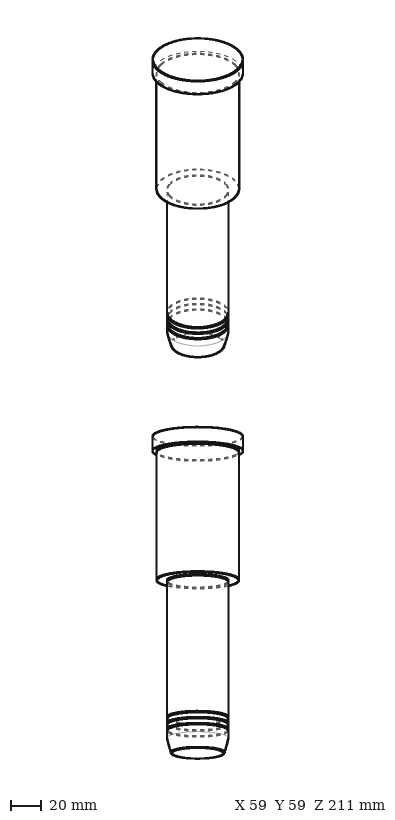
import cadquery as cq

LENGTH = 211.0

HEAD_DIAMETER = 59.0
HEAD_HEIGHT = 10.0
HEAD_CHAMFER = 0.5

BODY_DIAMETER = 54.0
BODY_LENGTH = 86.0
BODY_CHAMFER = 0.5

PIN_DIAMETER = 40.0

GROOVE_WIDTH = 1.0
GROOVE_DEPTH = 0.5
NOSE_GROOVE_PITCH = 4.0
NOSE_GROOVE_COUNT = 3
LOWEST_GROOVE_Z = 15.0

NOSE_LENGTH = 10.1
NOSE_TIP_DIAMETER = 35.0
NOSE_BULGE = 0.1
TIP_CHAMFER = 0.6

HEAD_BOTTOM_Z = LENGTH - HEAD_HEIGHT
BODY_BOTTOM_Z = HEAD_BOTTOM_Z - BODY_LENGTH


def disc(diameter, bottom_z, top_z):
    """Solid cylinder on the Z axis."""
    return cq.Workplane("XY").workplane(offset=bottom_z).circle(diameter / 2).extrude(top_z - bottom_z)


def revolve_about_z(profile):
    """Full turn of a closed XZ profile around the Z axis."""
    return profile.revolve(360, (0, 0, 0), (0, 1, 0))


def groove_cutter(diameter, bottom_z):
    """V-section ring that cuts a groove into a cylinder of the given diameter."""
    radius = diameter / 2
    profile = (
        cq.Workplane("XZ")
        .moveTo(radius, bottom_z)
        .lineTo(radius - GROOVE_DEPTH, bottom_z + GROOVE_WIDTH / 2)
        .lineTo(radius, bottom_z + GROOVE_WIDTH)
        .close()
    )
    return revolve_about_z(profile)


def make_head():
    head = disc(HEAD_DIAMETER, HEAD_BOTTOM_Z, LENGTH)
    return head.faces(">Z").edges().chamfer(HEAD_CHAMFER)


def make_body():
    body = disc(BODY_DIAMETER, BODY_BOTTOM_Z, HEAD_BOTTOM_Z)
    body = body.faces("<Z").edges().chamfer(BODY_CHAMFER)
    return body.cut(groove_cutter(BODY_DIAMETER, HEAD_BOTTOM_Z - GROOVE_WIDTH))


def make_pin():
    pin = disc(PIN_DIAMETER, NOSE_LENGTH, BODY_BOTTOM_Z)
    pin = pin.cut(groove_cutter(PIN_DIAMETER, BODY_BOTTOM_Z - GROOVE_WIDTH))
    for index in range(NOSE_GROOVE_COUNT):
        groove_z = LOWEST_GROOVE_Z + index * NOSE_GROOVE_PITCH
        pin = pin.cut(groove_cutter(PIN_DIAMETER, groove_z))
    return pin


def make_nose():
    pin_radius = PIN_DIAMETER / 2
    tip_radius = NOSE_TIP_DIAMETER / 2
    flank_middle = ((pin_radius + tip_radius) / 2 + NOSE_BULGE, (NOSE_LENGTH + TIP_CHAMFER) / 2)
    profile = (
        cq.Workplane("XZ")
        .lineTo(tip_radius - TIP_CHAMFER, 0)
        .lineTo(tip_radius, TIP_CHAMFER)
        .threePointArc(flank_middle, (pin_radius, NOSE_LENGTH))
        .lineTo(0, NOSE_LENGTH)
        .close()
    )
    return revolve_about_z(profile)


result = make_head().union(make_body()).union(make_pin()).union(make_nose())